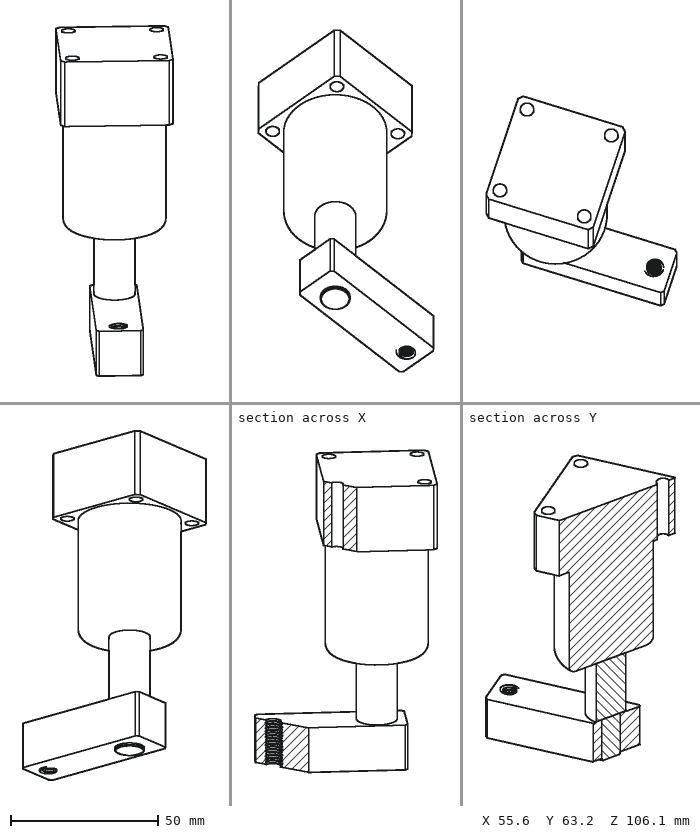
import cadquery as cq
block_height = 23.0
barrel_height = 42.0
rod_length = 24.1
arm_height = 16.0
screw_protrusion = 1.0

arm_bottom = screw_protrusion
arm_top = arm_bottom + arm_height
barrel_bottom = arm_top + rod_length
block_bottom = barrel_bottom + barrel_height

turn_angle = 35.6
block_side = 38.2
block_chamfer = 1.4
bolt_spacing = 30.0
bolt_hole_diameter = 4.6
barrel_diameter = 35
barrel_fillet = 3.0

rod_diameter = 14.0
screw_diameter = 10.1
screw_chamfer = 0.3

arm_width = 16.0
arm_chamfer = 1.0
arm_length = 50.9
arm_reach = 40.9

thread_distance = 35
thread_minor_radius = 2.4
thread_depth = 1.0
thread_turns = 16
thread_pitch = arm_height / thread_turns
thread_start_angle = -90
thread_mouth = 0.9 * thread_pitch
thread_overlap = 0.2
cutter_bottom = arm_bottom - thread_pitch
cutter_height = arm_height + 2 * thread_pitch


def turned(body):
    """Rotate a body from its own frame to its place about the cylinder axis."""
    return body.rotate((0, 0, 0), (0, 0, 1), turn_angle)


def make_housing():
    block = (
        cq.Workplane("XY", origin=(0, 0, block_bottom))
        .rect(block_side, block_side)
        .extrude(block_height)
        .edges("|Z")
        .chamfer(block_chamfer)
        .faces(">Z")
        .workplane()
        .rect(bolt_spacing, bolt_spacing, forConstruction=True)
        .vertices()
        .hole(bolt_hole_diameter)
    )
    barrel = (
        cq.Workplane("XY", origin=(0, 0, barrel_bottom))
        .circle(barrel_diameter / 2)
        .extrude(barrel_height)
        .faces("<Z")
        .edges()
        .fillet(barrel_fillet)
    )
    return turned(block.union(barrel))


def make_rod():
    return cq.Workplane("XY", origin=(0, 0, arm_top)).circle(rod_diameter / 2).extrude(rod_length)


def make_screw():
    return (
        cq.Workplane("XY")
        .circle(screw_diameter / 2)
        .extrude(arm_top)
        .faces("<Z")
        .edges()
        .chamfer(screw_chamfer)
    )


def make_thread_groove():
    """V-shaped helical cutter along the threaded hole, running one turn past both faces of the arm."""
    helix = cq.Wire.makeHelix(thread_pitch, cutter_height, thread_minor_radius)
    profile = cq.Workplane("XZ").polyline([
        (thread_minor_radius - thread_overlap, -thread_mouth / 2),
        (thread_minor_radius + thread_depth, 0),
        (thread_minor_radius - thread_overlap, thread_mouth / 2),
    ]).close()
    groove = profile.sweep(cq.Workplane(obj=helix), isFrenet=True)
    return (
        groove.rotate((0, 0, 0), (0, 0, 1), thread_start_angle)
        .translate((0, -thread_distance, cutter_bottom))
    )


def make_arm():
    bar = (
        cq.Workplane("XY", origin=(0, arm_length / 2 - arm_reach, arm_bottom))
        .rect(arm_width, arm_length)
        .extrude(arm_height)
        .edges("|Z")
        .chamfer(arm_chamfer)
    )
    screw_hole = cq.Workplane("XY").circle(screw_diameter / 2).extrude(arm_top)
    bore = (
        cq.Workplane("XY", origin=(0, -thread_distance, cutter_bottom))
        .circle(thread_minor_radius)
        .extrude(cutter_height)
    )
    return turned(bar.cut(make_thread_groove()).cut(bore).cut(screw_hole))


housing = make_housing()
rod = make_rod()
arm = make_arm()
screw = make_screw()

result = cq.Compound.makeCompound([housing.val(), rod.val(), arm.val(), screw.val()])